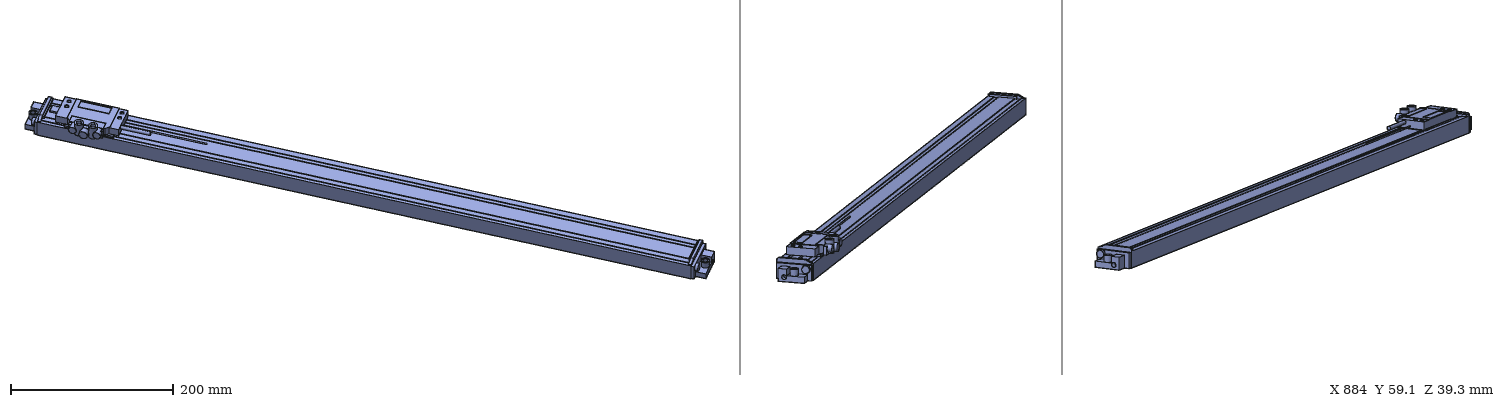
import cadquery as cq

total_length = 884.0
total_depth = 59.1
total_height = 39.3

rail_width = 47.5
rail_height = 21.5
groove_depth = 1.0
back_groove = (10.2, 15.7)
front_groove = (-18.6, -11.2)

block_length = 17.5
block_width = 34.0
block_height = 16.5
block_center_y = -0.75
step_height = 8.0
step_edge_y = 5.0
cap_length = 4.0
cap_height = 25.5
lip_length = 2.0
lip_height = 24.0
cap_front_chamfer = (10.0, 5.0)
cap_back_chamfer = 2.0
shoulder_length = 4.0
shoulder_inset = 1.0
shoulder_height = 20.0
bushing_diameter = 10.0
bushing_bore = 6.0
bushing_inset = 5.5
bushing_y = -3.0
end_bore_diameter = 6.0
end_bore_depth = 8.0
end_bore_y = 8.5
end_bore_z = 6.0
plug_diameter = 10.0
plug_y = -16.3
plug_z = 15.0
plug_length = 8.0

head_start = 40.0
head_end = 122.0
main_start = 55.0
main_end = 110.5
head_back_y = 18.4
ear_front_y = -19.0
main_front_y = -23.3
head_bottom = 24.0
ear_top = 34.2
main_top = 35.0
corner_chamfer = 5.0
foot_start = 52.0
foot_end = 116.0
foot_back_y = 17.0
foot_front_y = -22.0
window_start = 61.5
window_end = 101.5
window_back_y = 16.0
window_front_y = 5.0
window_depth = 0.8
lip_edge_start = 59.5
lip_edge_end = 103.5
lip_edge_y = -13.3
lip_edge_drop = 0.6
ear_screw_diameter = 5.0
ear_screw_depth = 2.0
ear_screw_y = (12.0, 2.5)
tab_start = 26.5
tab_back_y = 9.0
tab_front_y = -1.0

bracket_front_y = -27.5
bracket_bottom = 22.0
bracket_top = 33.0
tube_diameter = 11.0
tube_bore = 6.0
upright_tube_x = (73.0, 91.5)
upright_tube_y = -27.0
outer_tube_z = 29.5
middle_tube_z = 27.5
outer_tube_x = (66.5, 98.0)
outer_tube_diameter = 10.0
outer_tube_setback = 2.0
middle_tube_x = 81.0

cable_diameter = 5.0
cable_end = 160.5
cable_y = -10.0
cable_z = 30.8
wire_diameter = 1.8
wire_end = 231.0
wire_y = -1.7
wire_z = 26.4

left_end = -total_length / 2
rail_back_y = rail_width / 2
rail_front_y = -rail_width / 2
part_front_y = rail_back_y - total_depth
cap_start = left_end + block_length
lip_front_y = rail_front_y + cap_front_chamfer[0]


def box(x_range, y_range, z_range):
    """Box between two limits along each axis, given in either order."""
    limits = [sorted(r) for r in (x_range, y_range, z_range)]
    sizes = [high - low for low, high in limits]
    corner = [low for low, _ in limits]
    return cq.Workplane("XY").box(*sizes, centered=False).translate(tuple(corner))


def cylinder(start, direction, diameter, length):
    """Cylinder from a start point along a direction."""
    solid = cq.Solid.makeCylinder(diameter / 2, length, cq.Vector(*start), cq.Vector(*direction))
    return cq.Workplane(solid)


def make_rail_profile():
    rail = box((cap_start, -cap_start), (rail_front_y, rail_back_y), (0, rail_height))
    for groove in (back_groove, front_groove):
        groove_floor = rail_height - groove_depth
        rail = rail.cut(box((cap_start, -cap_start), groove, (groove_floor, rail_height)))
    return rail


def make_cap():
    """Plate across the rail end, with its two upper corners cut off."""
    front_run, front_drop = cap_front_chamfer
    outline = [
        (rail_front_y, 0),
        (rail_back_y, 0),
        (rail_back_y, cap_height - cap_back_chamfer),
        (rail_back_y - cap_back_chamfer, cap_height),
        (rail_front_y + front_run, cap_height),
        (rail_front_y, cap_height - front_drop),
    ]
    return cq.Workplane("YZ").polyline(outline).close().extrude(cap_length)


def make_left_end():
    block_back_y = block_center_y + block_width / 2
    block_front_y = block_center_y - block_width / 2
    bushing_x = left_end + bushing_inset
    cap_end = cap_start + cap_length

    end = box((left_end, cap_start), (block_front_y, block_back_y), (0, step_height))
    end = end.union(box((left_end, cap_start), (step_edge_y, block_back_y), (0, block_height)))
    end = end.union(cylinder((bushing_x, bushing_y, 0), (0, 0, 1), bushing_diameter, block_height))

    shoulder = box(
        (cap_start - shoulder_length, cap_start),
        (rail_front_y + shoulder_inset, rail_back_y - shoulder_inset),
        (0, shoulder_height),
    )
    cap = make_cap().translate((cap_start, 0, 0))
    lip = box(
        (cap_end, cap_end + lip_length),
        (lip_front_y, rail_back_y - cap_back_chamfer),
        (rail_height - groove_depth, lip_height),
    )
    plug = cylinder((cap_start - plug_length, plug_y, plug_z), (1, 0, 0), plug_diameter, plug_length)
    end = end.union(shoulder).union(cap).union(lip).union(plug)

    end = end.cut(cylinder((bushing_x, bushing_y, 0), (0, 0, 1), bushing_bore, block_height))
    end_bore = cylinder((left_end, end_bore_y, end_bore_z), (1, 0, 0), end_bore_diameter, end_bore_depth)
    return end.cut(end_bore)


def make_rail():
    left = make_left_end()
    right = left.mirror("YZ")
    return make_rail_profile().union(left).union(right)


def along(distance):
    """X position at a distance from the left end of the part."""
    return left_end + distance


def make_head_block():
    ears = box((along(head_start), along(head_end)), (ear_front_y, head_back_y), (head_bottom, ear_top))
    main = box((along(main_start), along(main_end)), (main_front_y, head_back_y), (head_bottom, main_top))
    main = main.edges("|Z and <Y").chamfer(corner_chamfer)
    foot = box((along(foot_start), along(foot_end)), (foot_front_y, foot_back_y), (rail_height, head_bottom))
    tab = box((along(tab_start), along(foot_start)), (tab_front_y, tab_back_y), (rail_height, head_bottom))
    block = ears.union(main).union(foot).union(tab)

    window = box(
        (along(window_start), along(window_end)),
        (window_front_y, window_back_y),
        (main_top - window_depth, main_top),
    )
    front_step = box(
        (along(lip_edge_start), along(lip_edge_end)),
        (main_front_y, lip_edge_y),
        (main_top - lip_edge_drop, main_top),
    )
    block = block.cut(window).cut(front_step)

    left_ear_x = (head_start + main_start) / 2
    right_ear_x = (main_end + head_end) / 2
    for ear_x in (left_ear_x, right_ear_x):
        for screw_y in ear_screw_y:
            seat = cylinder((along(ear_x), screw_y, ear_top), (0, 0, -1), ear_screw_diameter, ear_screw_depth)
            block = block.cut(seat)
    return block


def make_head():
    head = make_head_block()
    bracket = box(
        (along(lip_edge_start), along(lip_edge_end)),
        (bracket_front_y, main_front_y),
        (bracket_bottom, bracket_top),
    )
    head = head.union(bracket)

    outer_tip_y = part_front_y + outer_tube_setback
    for tube_x in outer_tube_x:
        start = (along(tube_x), outer_tip_y, outer_tube_z)
        head = head.union(cylinder(start, (0, 1, 0), outer_tube_diameter, main_front_y - outer_tip_y))
    start = (along(middle_tube_x), part_front_y, middle_tube_z)
    head = head.union(cylinder(start, (0, 1, 0), tube_diameter, main_front_y - part_front_y))

    upright_length = total_height - bracket_bottom
    for tube_x in upright_tube_x:
        start = (along(tube_x), upright_tube_y, bracket_bottom)
        head = head.union(cylinder(start, (0, 0, 1), tube_diameter, upright_length))
    for tube_x in upright_tube_x:
        start = (along(tube_x), upright_tube_y, bracket_bottom)
        head = head.cut(cylinder(start, (0, 0, 1), tube_bore, upright_length))

    cable_start = along(head_end)
    cable = cylinder((cable_start, cable_y, cable_z), (1, 0, 0), cable_diameter, cable_end - head_end)
    wire = cylinder((cable_start, wire_y, wire_z), (1, 0, 0), wire_diameter, wire_end - head_end)
    return head.union(cable).union(wire)


rail = make_rail()
head = make_head()
result = cq.Compound.makeCompound([rail.val(), head.val()])